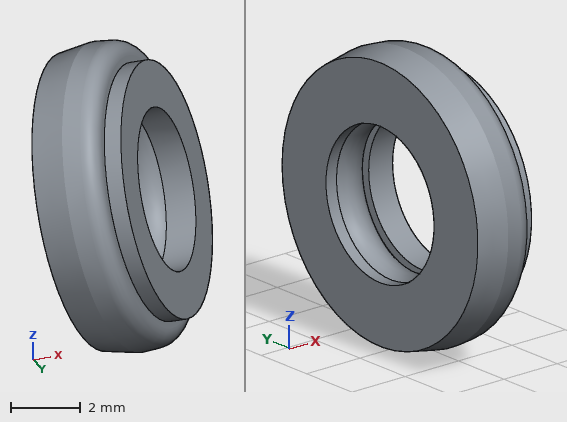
import cadquery as cq
import math

total_length = 2.5
seal_length = 2.0
crown_x = seal_length / 2
insert_front_x = 1.6

crown_radius = 9.0 / 2
front_radius = 4.32
back_taper = math.radians(5)
edge_radius = 0.5

bore_radius = 4.76 / 2
lip_radius = 4.5 / 2
lip_crest_x = 0.855
lip_round = 0.87

insert_radius = 7.5 / 2


def revolve_about_x(profile):
    """Revolve a closed (x, radius) profile around the X axis."""
    return profile.close().revolve(360, (0, 0, 0), (1, 0, 0))


def make_seal():
    """Crowned ring with a rounded back edge, a sealing lip in the bore and a recess for the insert."""
    edge_center_x = seal_length - edge_radius
    edge_start_x = edge_center_x + edge_radius * math.sin(back_taper)
    edge_start_radius = crown_radius - (edge_start_x - crown_x) * math.tan(back_taper)
    edge_center_radius = edge_start_radius - edge_radius * math.cos(back_taper)
    edge_mid_angle = (math.pi / 2 - back_taper) / 2
    edge_mid = (
        edge_center_x + edge_radius * math.cos(edge_mid_angle),
        edge_center_radius + edge_radius * math.sin(edge_mid_angle),
    )

    lip_center_radius = lip_radius + lip_round
    lip_start_x = lip_crest_x - math.sqrt(lip_round**2 - (lip_center_radius - bore_radius) ** 2)
    lip_end_radius = lip_center_radius - math.sqrt(lip_round**2 - (insert_front_x - lip_crest_x) ** 2)

    profile = (
        cq.Workplane("XY")
        .moveTo(0, bore_radius)
        .lineTo(0, front_radius)
        .lineTo(crown_x, crown_radius)
        .lineTo(edge_start_x, edge_start_radius)
        .threePointArc(edge_mid, (seal_length, edge_center_radius))
        .lineTo(seal_length, insert_radius)
        .lineTo(insert_front_x, insert_radius)
        .lineTo(insert_front_x, lip_end_radius)
        .threePointArc((lip_crest_x, lip_radius), (lip_start_x, bore_radius))
    )
    return revolve_about_x(profile)


def make_insert():
    """Plain ring seated in the back of the seal and standing proud of it."""
    profile = (
        cq.Workplane("XY")
        .moveTo(insert_front_x, bore_radius)
        .lineTo(insert_front_x, insert_radius)
        .lineTo(total_length, insert_radius)
        .lineTo(total_length, bore_radius)
    )
    return revolve_about_x(profile)


seal = make_seal()
insert = make_insert()
result = cq.Compound.makeCompound([seal.val(), insert.val()])